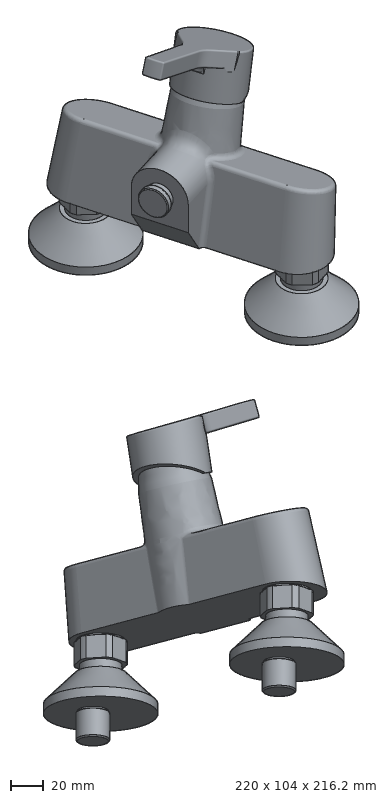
import cadquery as cq
import math


inlet_offset = 75.0
flange_radius = 35.0
flange_top_radius = 16.0
flange_bottom_z = -47.0
flange_rim_z = -41.0
flange_top_z = -21.8
nut_across_flats = 30.1
nut_corner_diameter = 32.5
nut_bottom_z = -15.8
nut_top_z = -1.0
nut_collar_radius = 15.0
pipe_radius = 13.0
stub_radius = 10.3
stub_end_radius = 9.5
stub_bottom_z = -66.5
stub_neck = 1.3
stub_shift = 7.3

bar_half_length_bottom = 96.8
bar_half_length_top = 92.2
bar_bottom_front_y = -26.6
bar_bottom_back_y = 18.7
bar_top_front = (-12.8, 54.8)
bar_top_back = (27.5, 41.5)
bar_top_fillet = 2.6

sleeve_top_front = (-4.2, 86.2)
sleeve_top_back = (39.0, 71.0)
sleeve_bottom_front_y = -33.5
sleeve_bottom_back_y = 21.5
spout_sleeve_fillet = 11.0
bar_joint_fillet = 3.5
dome_height = 13.2
dome_taper = 12.0

spout_radius = 19.8
spout_center_z = 42.0
spout_face_y = -43.1
spout_face_bottom_z = 21.1
spout_bottom_y = -29.5
button_neck_radius = 9.2
button_radius = 10.5
button_neck_length = 4.0
button_length = 8.8
button_chamfer = 0.7

cap_radius = 24.2
cap_tilt = 13.0
cap_axis_point = (20.5, 87.5)
cap_bottom_back = (44.9, 85.0)
cap_bottom_low = (17.0, 82.3)
cap_bottom_front = (-3.7, 90.5)
lever_slope = 24.2
lever_back_top = (49.5, 105.2)
lever_length = 108.5
lever_thickness = 11.7
ledge_depth = 13.2
lever_shoulder = (34.5, 21.1)
lever_neck = (49.3, 10.3)
lever_blend_middle = (54.0, 8.0)
lever_root = (59.2, 7.0)
lever_tip = (lever_length, 6.5)
lever_tip_bulge = 0.9
grip_back_y = -13.2
lever_edge_fillet = 1.0
lever_corner = (1.5, 114.0)
lever_corner_radius = 5.5

reach = 132.0
touching = 0.002


def tilted_plane(front, back):
    """Plane through a front and a back (Y, Z) point, centred between them, with local x along +X."""
    rise = math.atan2(front[1] - back[1], back[0] - front[0])
    center = (0, (front[0] + back[0]) / 2, (front[1] + back[1]) / 2)
    return cq.Plane(center, (1, 0, 0), (0, math.sin(rise), math.cos(rise)))


def side_prism(points, half_width):
    """Prism of a (Y, Z) outline, centred on X = 0."""
    return cq.Workplane("YZ").polyline(points).close().extrude(half_width, both=True)


def loft_between(lower, upper):
    """Straight-sided solid between two closed outlines."""
    return cq.Workplane(obj=cq.Solid.makeLoft([lower.wires().val(), upper.wires().val()], True))


def make_inlet():
    """Wall flange, union nut, pipe and offset threaded stub of one inlet, on the Z axis."""
    flange = (
        cq.Workplane("XZ")
        .moveTo(0, flange_bottom_z)
        .lineTo(flange_radius, flange_bottom_z)
        .lineTo(flange_radius, flange_rim_z)
        .lineTo(flange_top_radius, flange_top_z)
        .lineTo(0, flange_top_z)
        .close()
        .revolve(360, (0, 0), (0, 1))
    )
    pipe = cq.Workplane().workplane(offset=flange_top_z).circle(pipe_radius).extrude(-flange_top_z)
    nut_height = nut_top_z - nut_bottom_z
    corner_diameter = nut_across_flats / math.cos(math.pi / 6)
    nut_base = cq.Workplane().workplane(offset=nut_bottom_z)
    nut = (
        nut_base.transformed(rotate=(0, 0, 30))
        .polygon(6, corner_diameter)
        .extrude(nut_height)
        .intersect(nut_base.circle(nut_corner_diameter / 2).extrude(nut_height))
    )
    collar = cq.Workplane().workplane(offset=nut_top_z).circle(nut_collar_radius).extrude(-nut_top_z)
    stub_base = cq.Workplane().workplane(offset=stub_bottom_z).center(0, stub_shift)
    stub_height = flange_bottom_z - stub_bottom_z
    stub = (
        stub_base.circle(stub_radius)
        .extrude(stub_height - stub_neck)
        .faces("<Z")
        .chamfer(stub_radius - stub_end_radius)
        .union(stub_base.circle(stub_end_radius).extrude(stub_height))
    )
    return flange.union(pipe).union(nut).union(collar).union(stub)


def make_bar():
    """Stadium-shaped bar that tapers up to a top sloping down to the back."""
    bottom_width = bar_bottom_back_y - bar_bottom_front_y
    bottom_center_y = (bar_bottom_back_y + bar_bottom_front_y) / 2
    top_width = math.dist(bar_top_front, bar_top_back)
    bottom = cq.Workplane().center(0, bottom_center_y).slot2D(2 * bar_half_length_bottom, bottom_width)
    top_plane = tilted_plane(bar_top_front, bar_top_back)
    top = cq.Workplane(top_plane).slot2D(2 * bar_half_length_top, top_width)
    return loft_between(bottom, top).faces(">Z").edges().fillet(bar_top_fillet)


def make_sleeve():
    """Leaning sleeve that narrows from the underside of the bar to its tilted top circle."""
    top_plane = tilted_plane(sleeve_top_front, sleeve_top_back)
    top_radius = math.dist(sleeve_top_front, sleeve_top_back) / 2
    bottom_radius = (sleeve_bottom_back_y - sleeve_bottom_front_y) / 2
    bottom_center_y = (sleeve_bottom_back_y + sleeve_bottom_front_y) / 2
    bottom = cq.Workplane().center(0, bottom_center_y).circle(bottom_radius)
    top = cq.Workplane(top_plane).circle(top_radius)
    return loft_between(bottom, top)


def make_dome():
    """Tapered cartridge cover between the sleeve and the cap."""
    top_plane = tilted_plane(sleeve_top_front, sleeve_top_back)
    radius = math.dist(sleeve_top_front, sleeve_top_back) / 2
    return cq.Workplane(top_plane).circle(radius).extrude(dome_height, taper=dome_taper)


def make_spout():
    """Arched block reaching from Y = 0 to the spout face."""
    return (
        cq.Workplane("XZ")
        .moveTo(-spout_radius, 0)
        .lineTo(-spout_radius, spout_center_z)
        .threePointArc((0, spout_center_z + spout_radius), (spout_radius, spout_center_z))
        .lineTo(spout_radius, 0)
        .close()
        .extrude(-spout_face_y)
    )


def trim_below_spout(body):
    """Slope the underside of the spout from its front face back to the bar."""
    slope = (spout_bottom_y - spout_face_y) / spout_face_bottom_z
    wedge = side_prism(
        [
            (spout_face_y - slope * reach, spout_face_bottom_z + reach),
            (spout_bottom_y, 0),
            (spout_bottom_y, -reach),
            (spout_face_y - slope * reach, -reach),
        ],
        reach,
    )
    return body.cut(wedge)


def make_button():
    """Round button on a short neck, standing out from the spout face."""
    base = cq.Workplane("XZ", origin=(0, spout_face_y, spout_center_z))
    head = (
        base.workplane(offset=button_neck_length)
        .circle(button_radius)
        .extrude(button_length - button_neck_length)
        .edges()
        .chamfer(button_chamfer)
    )
    return base.circle(button_neck_radius).extrude(button_neck_length).union(head)


def leaning_up(degrees):
    """Upward direction leaning to the back by an angle from vertical."""
    angle = math.radians(degrees)
    return cq.Vector(0, math.sin(angle), math.cos(angle))


def handle_plane(depth):
    """Plane below the sloping top: local x runs from the back of the cap to the lever tip."""
    along = leaning_up(lever_slope - 90)
    top = cq.Plane((0, *lever_back_top), along, leaning_up(lever_slope))
    return cq.Workplane(top).workplane(offset=-depth)


def make_paddle(depth):
    """Paddle that narrows from the cap to the grip, left thick above the sloping top plane."""
    mid = lever_blend_middle
    return (
        handle_plane(depth)
        .moveTo(lever_shoulder[0], -lever_shoulder[1])
        .lineTo(lever_neck[0], -lever_neck[1])
        .threePointArc((mid[0], -mid[1]), (lever_root[0], -lever_root[1]))
        .lineTo(lever_tip[0], -lever_tip[1])
        .threePointArc((lever_tip[0] + lever_tip_bulge, 0), lever_tip)
        .lineTo(*lever_root)
        .threePointArc(mid, lever_neck)
        .lineTo(*lever_shoulder)
        .close()
        .extrude(2 * depth)
    )


def make_cap():
    """Leaning cylinder with a ledge on each side of the lever, left long above the sloping top."""
    axis = cq.Plane((0, *cap_axis_point), (1, 0, 0), leaning_up(cap_tilt))
    cylinder = cq.Workplane(axis).workplane(offset=-cap_radius).circle(cap_radius).extrude(4 * cap_radius)
    ledge = (
        handle_plane(ledge_depth)
        .center(lever_shoulder[0] + cap_radius, 0)
        .rect(2 * cap_radius, 4 * cap_radius)
        .extrude(reach)
        .cut(make_paddle(2 * ledge_depth))
    )
    return cylinder.cut(ledge)


def make_lever_web():
    """Rounded corner between the lever underside and the front of the cap."""
    corner = cq.Vector(0, *lever_corner)
    along_lever = leaning_up(lever_slope - 90) * lever_corner_radius
    down_cap = leaning_up(cap_tilt) * -lever_corner_radius
    points = [corner + along_lever, corner, corner + down_cap, corner - along_lever, corner - down_cap]
    web = side_prism([(point.y, point.z) for point in points], lever_tip[1])
    return web.edges(cq.NearestToPointSelector(corner.toTuple())).fillet(lever_corner_radius)


def make_handle():
    """Cap and lever, trimmed together to the sloping top and to the folded underside of the cap."""
    front_y = lever_back_top[0] - reach
    front_top_z = lever_back_top[1] + reach * math.tan(math.radians(lever_slope))
    outline = [
        cap_bottom_back,
        cap_bottom_low,
        cap_bottom_front,
        (front_y, cap_bottom_front[1]),
        (front_y, front_top_z),
        lever_back_top,
    ]
    handle = make_cap().union(make_paddle(lever_thickness)).intersect(side_prism(outline, reach))
    top_edges = handle.faces(cq.DirectionMinMaxSelector(leaning_up(lever_slope), True)).edges()
    grip = cq.selectors.BoxSelector((-cap_radius, front_y, 0), (cap_radius, grip_back_y, 2 * reach))
    rounded = top_edges.add(handle.edges(grip)).edges().fillet(lever_edge_fillet)
    return rounded.union(make_lever_web())


def joint_edges(joined, first, second):
    """Edges of a union whose middle lies on the outside of both parts that were joined."""
    edges = []
    for edge in joined.edges().vals():
        middle = cq.Vertex.makeVertex(*edge.positionAt(0.5).toTuple())
        distances = [min(face.distance(middle) for face in part.faces().vals()) for part in (first, second)]
        if max(distances) < touching:
            edges.append(edge)
    return joined.newObject(edges)


def make_body():
    """Bar, sleeve and spout blended into one casting."""
    bar = make_bar()
    sleeve = make_sleeve()
    spout = make_spout()
    column = sleeve.union(spout)
    column = joint_edges(column, sleeve, spout).edges(">Z").fillet(spout_sleeve_fillet)
    casting = bar.union(column)
    return trim_below_spout(joint_edges(casting, bar, column).fillet(bar_joint_fillet))


result = make_body().union(make_dome()).union(make_handle()).union(make_button())
for side in (-1, 1):
    result = result.union(make_inlet().translate((side * inlet_offset, 0, 0)))